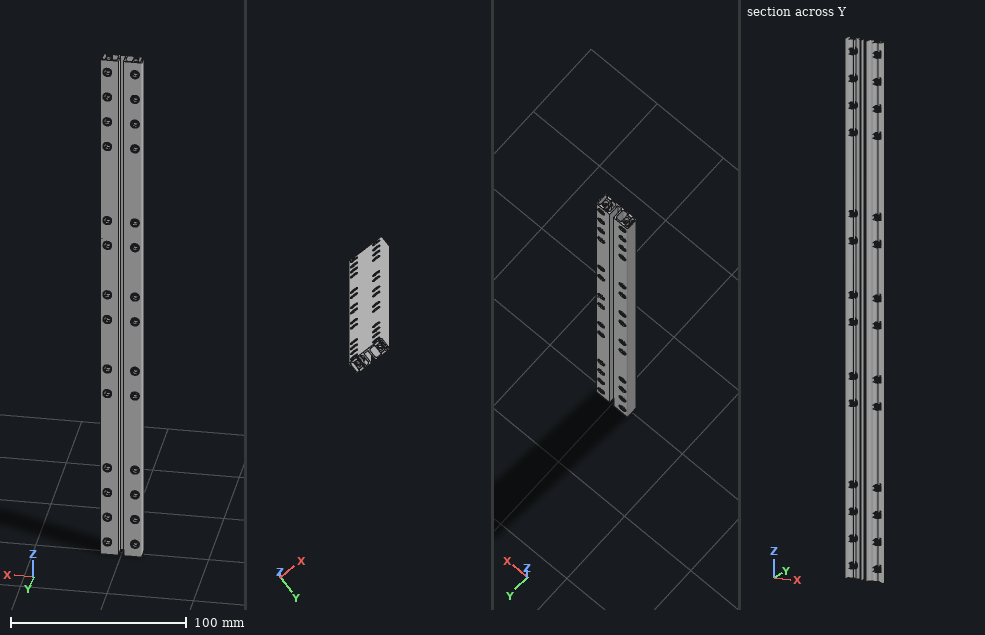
import cadquery as cq

width = 24.0
depth = 8.0
length = 320.0
outer_radius = 0.5

wall = 0.8
groove_width = 3.0
groove_floor = 1.0
groove_wall = 1.0
rib_width = 3.05
outer_channel_radius = 0.3
inner_channel_radius = 1.3

hole_radius = 2.0
counterbore_radius = 2.5
counterbore_depth = 0.5
hole_pitch = 16.0
hole_rows = (0, 1, 2, 3, 6, 7, 9, 10, 12, 13, 16, 17, 18, 19)

port_radius = 1.5

hole_x = hole_pitch / 2
rib_offset = 0.15
rib_x = hole_x - rib_offset
rib_inner_x = rib_x - rib_width / 2
rib_outer_x = rib_x + rib_width / 2


def channel(x_start, x_end):
    """Full-length rectangular void between two X positions."""
    void = cq.Workplane("XY").box(x_end - x_start, depth - 2 * wall, length)
    return void.translate(((x_start + x_end) / 2, 0, 0))


def stepped_holes(plane, points, radius, through_length):
    """Centred through holes along the plane's normal, counterbored at both ends."""
    base = cq.Workplane(plane).pushPoints(points)
    holes = base.circle(radius).extrude(through_length / 2, both=True)
    for side in (-1, 1):
        face = cq.Workplane(plane).workplane(offset=side * through_length / 2)
        counterbores = face.pushPoints(points).circle(counterbore_radius)
        holes = holes.union(counterbores.extrude(-side * counterbore_depth))
    return holes


body = cq.Workplane("XY").box(width, depth, length).edges("|Z").fillet(outer_radius)
groove = cq.Workplane("XY").box(groove_width, depth, length).translate((0, groove_floor, 0))
body = body.cut(groove)

outer_channel = channel(rib_outer_x, width / 2 - wall).edges("|Z").fillet(outer_channel_radius)
inner_channel = channel(groove_width / 2 + groove_wall, rib_inner_x)
inner_channel = inner_channel.edges("|Z and <X").fillet(inner_channel_radius)
for void in (outer_channel, inner_channel):
    body = body.cut(void).cut(void.mirror("YZ"))

port_points = [(-rib_x, 0), (rib_x, 0)]
body = body.cut(stepped_holes("XY", port_points, port_radius, length))

hole_points = []
for row in hole_rows:
    hole_z = length / 2 - hole_pitch * (row + 0.5)
    hole_points += [(-hole_x, hole_z), (hole_x, hole_z)]
result = body.cut(stepped_holes("XZ", hole_points, hole_radius, depth))